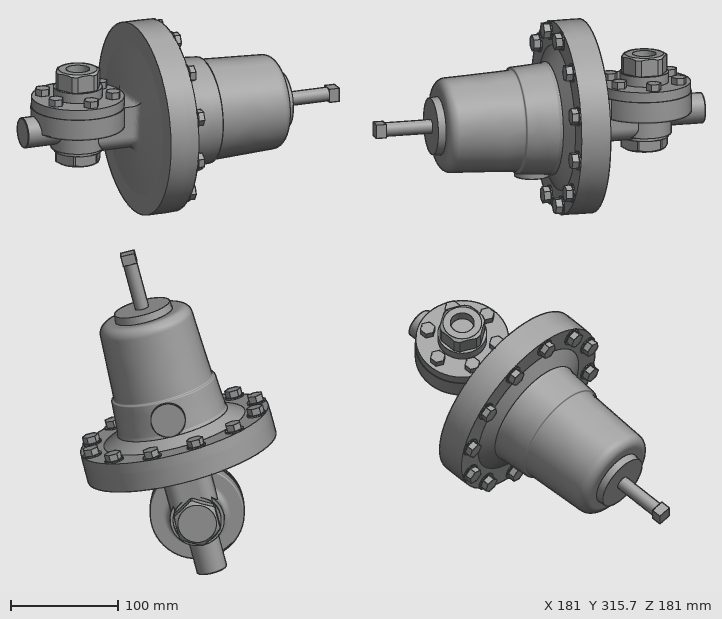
import cadquery as cq
import math


OVERALL_LENGTH = 315.7

SELECT_MARGIN = 0.3

CASE_RADIUS = 90.5
CASE_FRONT_Y = 56.8
CASE_JOINT_Y = 74.5
CASE_BACK_Y = 85.0
CASE_BACK_RADIUS = 90.3
DOME_RADIUS = 72.3
DOME_TIP_Y = 48.5

SHOULDER_RADIUS = 68.0
SHOULDER_Y = 92.5
FLARE_RADIUS = 53.0
SKIRT_BOTTOM_Y = 95.5
SKIRT_BOTTOM_RADIUS = 52.0
SKIRT_TOP_Y = 126.3
SKIRT_TOP_RADIUS = 50.0
SKIRT_ROUND = 1.2
BARREL_BOTTOM_RADIUS = 47.5
BARREL_TOP_RADIUS = 44.0
BONNET_TOP_Y = 198.5
BONNET_ROUND = 9.5
CAP_TOP_Y = 206.0
CAP_BOTTOM_RADIUS = 27.5
CAP_TOP_RADIUS = 26.5

VENT_RADIUS = 16.0
VENT_CENTRE_Y = 108.5
VENT_BOTTOM_Z = -53.7

STEM_HEAD_WIDTH = 13.0
STEM_RADIUS = STEM_HEAD_WIDTH / 2
STEM_HEAD_LENGTH = 9.8
STEM_TIP_Y = 260.0

BODY_RADIUS = 44.0
BODY_BOTTOM_ROUND = 1.3
COVER_RADIUS = 43.3
COVER_BOTTOM_Z = 20.0
COVER_TOP_Z = 29.5
NECK_RADIUS = 25.3
NECK_FILLET = 6.0
NECK_BOTTOM_Z = -19.5
PLUG_COLLAR_RADIUS = 22.5
PLUG_COLLAR_BOTTOM_Z = -23.0
PLUG_BOTTOM_Z = -34.5
PLUG_CORNER_RADIUS = 22.0
INLET_COLLAR_RADIUS = 22.7
INLET_COLLAR_TOP_Z = 38.8
INLET_TOP_Z = 56.0
INLET_CORNER_RADIUS = 21.0
HEX_ACROSS_FLATS = 39.0
HEX_FACE_RADIUS = 18.0
HEX_CHAMFER_ANGLE = 30.0
BORE_RADIUS = 11.0
BORE_DEPTH = 9.5

ARM_WIDTH = 44.8
ARM_BOTTOM_Z = -23.0
ARM_CORNER_RADIUS = 13.3
ARM_FILLET = 5.7
OUTLET_RADIUS = 14.2
OUTLET_END_Y = STEM_TIP_Y - OVERALL_LENGTH
OUTLET_CHAMFER = 0.5

CASE_BOLT_COUNT = 12
CASE_BOLT_CIRCLE_RADIUS = 81.8
CASE_BOLT_ACROSS_FLATS = 13.3
CASE_BOLT_HEIGHT = 7.5
CASE_BOLT_TWIST = 10.0
WASHER_RADIUS = 8.8
WASHER_THICKNESS = 1.3
COVER_BOLT_COUNT = 6
COVER_BOLT_CIRCLE_RADIUS = 33.0
COVER_BOLT_ACROSS_FLATS = 12.3
COVER_BOLT_HEIGHT = 6.3


def z_cylinder(radius, bottom, top):
    return cq.Workplane("XY").workplane(offset=bottom).circle(radius).extrude(top - bottom)


def y_cylinder(radius, start, end):
    return cq.Workplane("XZ", origin=(0, start, 0)).circle(radius).extrude(start - end)


def hexagon(across_flats, height):
    """Upright hexagon on the XY plane with two flats facing +X and -X."""
    corner_diameter = across_flats / math.cos(math.pi / 6)
    corner_first = cq.Workplane("XY").polygon(6, corner_diameter).extrude(height)
    return corner_first.rotate((0, 0, 0), (0, 0, 1), 30)


def rounded_hexagon(corner_radius, bottom, top, chamfered_end):
    """Wrench hexagon whose corners are turned down and whose free end is chamfered."""
    chamfer_width = corner_radius - HEX_FACE_RADIUS
    chamfer_height = chamfer_width * math.tan(math.radians(HEX_CHAMFER_ANGLE))
    turned = z_cylinder(corner_radius, bottom, top)
    turned = turned.faces(chamfered_end).edges().chamfer(chamfer_height, chamfer_width)
    return hexagon(HEX_ACROSS_FLATS, top - bottom).translate((0, 0, bottom)).intersect(turned)


def make_case_and_bonnet():
    profile = (
        cq.Workplane("XY")
        .moveTo(0, DOME_TIP_Y)
        .lineTo(DOME_RADIUS, CASE_FRONT_Y)
        .lineTo(CASE_RADIUS, CASE_FRONT_Y)
        .lineTo(CASE_RADIUS, CASE_JOINT_Y)
        .lineTo(CASE_BACK_RADIUS, CASE_BACK_Y)
        .lineTo(SHOULDER_RADIUS, CASE_BACK_Y)
        .lineTo(FLARE_RADIUS, SHOULDER_Y)
        .lineTo(SKIRT_BOTTOM_RADIUS, SKIRT_BOTTOM_Y)
        .lineTo(SKIRT_TOP_RADIUS, SKIRT_TOP_Y)
        .lineTo(BARREL_BOTTOM_RADIUS, SKIRT_TOP_Y)
        .lineTo(BARREL_TOP_RADIUS, BONNET_TOP_Y)
        .lineTo(0, BONNET_TOP_Y)
        .close()
    )
    body = profile.revolve(360, (0, 0, 0), (0, 1, 0))
    body = body.faces(">Y").edges().fillet(BONNET_ROUND)
    ledge = body.faces(cq.selectors.NearestToPointSelector((SKIRT_TOP_RADIUS, SKIRT_TOP_Y, 0)))
    return ledge.edges().fillet(SKIRT_ROUND)


def make_cap():
    rise = CAP_TOP_Y - BONNET_TOP_Y
    taper = math.degrees(math.atan((CAP_BOTTOM_RADIUS - CAP_TOP_RADIUS) / rise))
    cap = cq.Workplane("XZ", origin=(0, BONNET_TOP_Y, 0)).circle(CAP_BOTTOM_RADIUS)
    return cap.extrude(-rise, taper=taper)


def make_vent_pad():
    return z_cylinder(VENT_RADIUS, VENT_BOTTOM_Z, 0).translate((0, VENT_CENTRE_Y, 0))


def make_stem():
    shaft = y_cylinder(STEM_RADIUS, CAP_TOP_Y, STEM_TIP_Y)
    head = cq.Workplane("XZ", origin=(0, STEM_TIP_Y, 0)).rect(STEM_HEAD_WIDTH, STEM_HEAD_WIDTH)
    return shaft.union(head.extrude(STEM_HEAD_LENGTH))


def make_arm():
    """Bar with rounded lower edges, running from the valve axis into the case."""
    height = COVER_BOTTOM_Z - ARM_BOTTOM_Z
    arm = cq.Workplane("XY").box(ARM_WIDTH, CASE_FRONT_Y, height, centered=(True, False, False))
    return arm.translate((0, 0, ARM_BOTTOM_Z)).edges("|Y and <Z").fillet(ARM_CORNER_RADIUS)


def make_valve_body():
    neck = z_cylinder(NECK_RADIUS, NECK_BOTTOM_Z, 0)
    chamber = z_cylinder(BODY_RADIUS, 0, COVER_BOTTOM_Z).faces("<Z").edges().fillet(BODY_BOTTOM_ROUND)
    reach = NECK_RADIUS + SELECT_MARGIN
    junction = cq.selectors.BoxSelector(
        (-reach, -reach, -SELECT_MARGIN),
        (reach, reach, SELECT_MARGIN),
        boundingbox=True,
    )
    body = chamber.union(neck).edges(junction).fillet(NECK_FILLET)
    outlet = y_cylinder(OUTLET_RADIUS, 0, OUTLET_END_Y).faces("<Y").chamfer(OUTLET_CHAMFER)
    cover = z_cylinder(COVER_RADIUS, COVER_BOTTOM_Z, COVER_TOP_Z)
    return body.union(outlet).union(cover)


def make_bottom_plug():
    collar = z_cylinder(PLUG_COLLAR_RADIUS, PLUG_COLLAR_BOTTOM_Z, NECK_BOTTOM_Z)
    return collar.union(rounded_hexagon(PLUG_CORNER_RADIUS, PLUG_BOTTOM_Z, PLUG_COLLAR_BOTTOM_Z, "<Z"))


def make_inlet():
    collar = z_cylinder(INLET_COLLAR_RADIUS, COVER_TOP_Z, INLET_COLLAR_TOP_Z)
    fitting = rounded_hexagon(INLET_CORNER_RADIUS, INLET_COLLAR_TOP_Z, INLET_TOP_Z, ">Z")
    return collar.union(fitting).cut(z_cylinder(BORE_RADIUS, INLET_TOP_Z - BORE_DEPTH, INLET_TOP_Z))


def make_cover_bolts():
    head = hexagon(COVER_BOLT_ACROSS_FLATS, COVER_BOLT_HEIGHT)
    bolts = cq.Workplane("XY")
    for index in range(COVER_BOLT_COUNT):
        angle = 2 * math.pi * index / COVER_BOLT_COUNT
        x = COVER_BOLT_CIRCLE_RADIUS * math.cos(angle)
        y = COVER_BOLT_CIRCLE_RADIUS * math.sin(angle)
        bolts = bolts.add(head.translate((x, y, COVER_TOP_Z)))
    return bolts


def make_case_bolts():
    """Flanged bolt heads on the back of the case, each turned with its place on the bolt circle."""
    washer = z_cylinder(WASHER_RADIUS, 0, WASHER_THICKNESS)
    head = hexagon(CASE_BOLT_ACROSS_FLATS, CASE_BOLT_HEIGHT).union(washer)
    head = head.rotate((0, 0, 0), (0, 0, 1), -CASE_BOLT_TWIST).rotate((0, 0, 0), (1, 0, 0), -90)
    head = head.translate((CASE_BOLT_CIRCLE_RADIUS, CASE_BACK_Y, 0))
    pitch = 360 / CASE_BOLT_COUNT
    bolts = cq.Workplane("XY")
    for index in range(CASE_BOLT_COUNT):
        bolts = bolts.add(head.rotate((0, 0, 0), (0, 1, 0), (index + 0.5) * pitch))
    return bolts


def fillet_arm_root(part):
    """Blend the top, sides and bottom of the arm into the sloping front of the case."""
    half_width = ARM_WIDTH / 2 + SELECT_MARGIN
    root = cq.selectors.BoxSelector(
        (-half_width, DOME_TIP_Y, ARM_BOTTOM_Z - SELECT_MARGIN),
        (half_width, CASE_FRONT_Y - SELECT_MARGIN, COVER_BOTTOM_Z + SELECT_MARGIN),
        boundingbox=True,
    )
    return part.edges(root).fillet(ARM_FILLET)


result = fillet_arm_root(make_case_and_bonnet().union(make_arm()))
for feature in (
    make_cap(),
    make_vent_pad(),
    make_stem(),
    make_valve_body(),
    make_bottom_plug(),
    make_inlet(),
):
    result = result.union(feature)
for bolts in (make_cover_bolts(), make_case_bolts()):
    for bolt in bolts.vals():
        result = result.union(cq.Workplane(bolt))